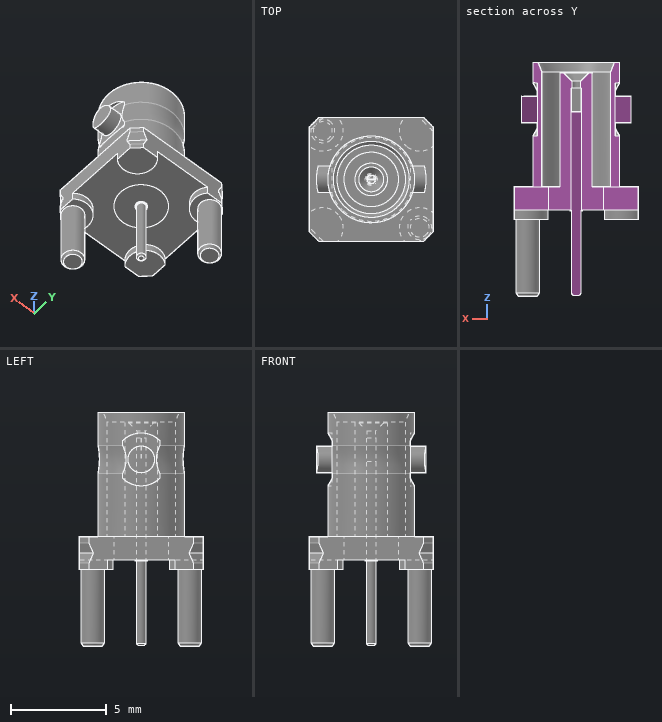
import cadquery as cq
import math

total_height = 12.25
base_bottom = 4.02
base_underside = 4.52
base_top = 5.75

base_width = 6.5
corner_chamfer = 0.51
notch_chamfer = 0.75
notch_middle = (base_bottom + base_top) / 2
notch_half_height = 0.53

leg_spacing = 5.07
leg_diameter = 1.25
leg_tip_inset = 0.13
leg_tip_height = 0.18
foot_diameter = 2.12
foot_centers = [
    (x_side * leg_spacing / 2, y_side * leg_spacing / 2)
    for x_side in (-1, 1)
    for y_side in (-1, 1)
]
leg_centers = [(x, y) for x, y in foot_centers if x * y < 0]

shell_diameter = 4.55
bore_diameter = 3.59
mouth_diameter = 3.98
mouth_depth = 0.5

stud_height = 9.79
stud_diameter = 1.4
stud_tip_diameter = 5.73
groove_width = 1.47
groove_depth = 0.07
flat_diameter = 2.77
flat_spacing = 4.1

insulator_diameter = 2.85
tower_diameter = 1.7
tower_top = 11.7
funnel_diameter = 1.3
entry_diameter = 0.43
funnel_depth = (funnel_diameter - entry_diameter) / 2
entry_depth = 0.37
boss_diameter = 0.64
boss_height = 0.05

contact_diameter = 0.51
contact_bottom = 0.04
contact_top = tower_top - funnel_depth - entry_depth
contact_tip_chamfer = 0.11
slot_width = 0.05
slot_depth = 1.22


def cylinder(diameter, bottom, top):
    """Upright cylinder on the Z axis between two heights."""
    return cq.Workplane("XY", origin=(0, 0, bottom)).circle(diameter / 2).extrude(top - bottom)


def corner_cutter():
    """Prism that chamfers the +X +Y base corner and notches it with a V at mid height."""
    corner = base_width / math.sqrt(2)
    chamfer_face = corner - corner_chamfer / math.sqrt(2)
    notch_bottom = corner - notch_chamfer / math.sqrt(2)
    profile = (
        cq.Workplane("XZ")
        .moveTo(chamfer_face, base_bottom)
        .lineTo(chamfer_face, notch_middle - notch_half_height)
        .lineTo(notch_bottom, notch_middle)
        .lineTo(chamfer_face, notch_middle + notch_half_height)
        .lineTo(chamfer_face, base_top)
        .lineTo(corner, base_top)
        .lineTo(corner, base_bottom)
        .close()
    )
    return profile.extrude(notch_chamfer, both=True).rotate((0, 0, 0), (0, 0, 1), 45)


def make_base():
    """Square plate on four round-sided corner feet, bored through for the insulator."""
    plate = (
        cq.Workplane("XY", origin=(0, 0, base_underside))
        .rect(base_width, base_width)
        .extrude(base_top - base_underside)
    )
    outline = (
        cq.Workplane("XY", origin=(0, 0, base_bottom))
        .rect(base_width, base_width)
        .extrude(base_underside - base_bottom)
    )
    foot_reach = base_width / 2 - leg_spacing / 2
    for x, y in foot_centers:
        foot = (
            cq.Workplane("XY", origin=(x, y, base_bottom))
            .circle(foot_diameter / 2)
            .extrude(base_underside - base_bottom)
        )
        corner_block = (
            cq.Workplane("XY", origin=(x, y, base_bottom))
            .rect(math.copysign(foot_reach, x), math.copysign(foot_reach, y), centered=False)
            .extrude(base_underside - base_bottom)
        )
        plate = plate.union(foot.union(corner_block).intersect(outline))
    for turn in range(4):
        plate = plate.cut(corner_cutter().rotate((0, 0, 0), (0, 0, 1), 90 * turn))
    return plate.cut(cylinder(insulator_diameter, base_underside, base_top))


def make_leg(x, y):
    """Round solder leg with a tapered tip, standing under a foot."""
    radius = leg_diameter / 2
    profile = (
        cq.Workplane("XZ")
        .lineTo(radius - leg_tip_inset, 0)
        .lineTo(radius, leg_tip_height)
        .lineTo(radius, base_bottom)
        .lineTo(0, base_bottom)
        .close()
    )
    return profile.revolve(360, (0, 0), (0, 1)).translate((x, y, 0))


def flat_cutter(side):
    """Round cutter along X that leaves a flat on one side of the shell."""
    return (
        cq.Workplane("YZ", origin=(side * flat_spacing / 2, 0, stud_height))
        .circle(flat_diameter / 2)
        .extrude(side * shell_diameter / 2)
    )


def make_shell():
    """Tube with a shallow round groove, a tapered mouth and a flat for each stud."""
    outer = shell_diameter / 2
    bore = bore_diameter / 2
    profile = (
        cq.Workplane("XZ")
        .moveTo(bore, base_top)
        .lineTo(outer, base_top)
        .lineTo(outer, stud_height - groove_width / 2)
        .threePointArc((outer - groove_depth, stud_height), (outer, stud_height + groove_width / 2))
        .lineTo(outer, total_height)
        .lineTo(mouth_diameter / 2, total_height)
        .lineTo(bore, total_height - mouth_depth)
        .close()
    )
    shell = profile.revolve(360, (0, 0), (0, 1))
    for side in (-1, 1):
        shell = shell.cut(flat_cutter(side))
    return shell


def make_stud(side):
    """Bayonet stud on a flat, its outer end curved about the Z axis."""
    blank = (
        cq.Workplane("YZ", origin=(side * flat_spacing / 2, 0, stud_height))
        .circle(stud_diameter / 2)
        .extrude(side * (stud_tip_diameter - flat_spacing) / 2)
    )
    tip_cylinder = cylinder(stud_tip_diameter, base_top, total_height)
    return blank.intersect(tip_cylinder)


def make_insulator():
    """Disc filling the base bore, with a funnelled tower above and a small boss below."""
    profile = (
        cq.Workplane("XZ")
        .moveTo(contact_diameter / 2, base_underside - boss_height)
        .lineTo(boss_diameter / 2, base_underside - boss_height)
        .lineTo(boss_diameter / 2, base_underside)
        .lineTo(insulator_diameter / 2, base_underside)
        .lineTo(insulator_diameter / 2, base_top)
        .lineTo(tower_diameter / 2, base_top)
        .lineTo(tower_diameter / 2, tower_top)
        .lineTo(funnel_diameter / 2, tower_top)
        .lineTo(entry_diameter / 2, tower_top - funnel_depth)
        .lineTo(entry_diameter / 2, contact_top)
        .lineTo(contact_diameter / 2, contact_top)
        .close()
    )
    return profile.revolve(360, (0, 0), (0, 1))


def make_contact():
    """Centre pin with a chamfered lower tip and a slit across its upper end."""
    pin = cylinder(contact_diameter, contact_bottom, contact_top)
    pin = pin.faces("<Z").chamfer(contact_tip_chamfer)
    slot = (
        cq.Workplane("XY", origin=(0, 0, contact_top - slot_depth))
        .rect(contact_diameter, slot_width)
        .extrude(slot_depth)
    )
    return pin.cut(slot)


base = make_base()
legs = [make_leg(x, y) for x, y in leg_centers]
shell = make_shell()
studs = [make_stud(side) for side in (-1, 1)]
insulator = make_insulator()
contact = make_contact()

result = cq.Compound.makeCompound(
    [
        base.val(),
        *[leg.val() for leg in legs],
        shell.val(),
        *[stud.val() for stud in studs],
        insulator.val(),
        contact.val(),
    ]
)